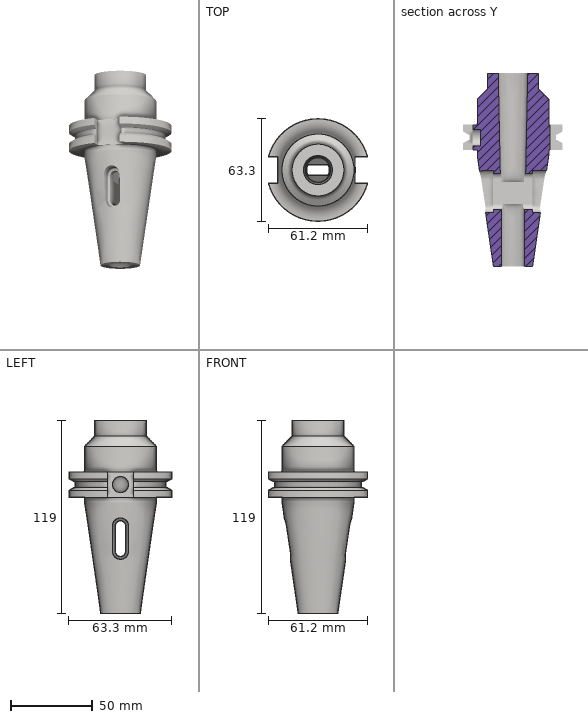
import cadquery as cq

total_height = 119.0
nose_base_z = 109.5
cone_base_z = 103.1
flange_top_z = 87.4
flange_thickness = 15.7
flange_bottom_z = flange_top_z - flange_thickness
taper_top_z = 68.5

nose_diameter = 31.9
body_diameter = 44.4
flange_diameter = 63.3
groove_diameter = 56.0
groove_step_diameter = 57.4
shank_taper = 7 / 24
shank_end_diameter = body_diameter - shank_taper * taper_top_z

groove_floor_height = 3.6
groove_mouth_height = 7.1
flange_mid_z = flange_bottom_z + flange_thickness / 2
neck_fillet = 0.8

notch_width = 16.1
left_notch_floor = 24.9
right_notch_floor = 22.9
chip_hole_diameter = 9.9
chip_hole_depth = 4.6

socket_diameter = 17.9
socket_floor_diameter = 15.1
socket_depth = 67.0
socket_floor_z = total_height - socket_depth
drawbar_hole_diameter = 13.8

slot_width = 6.3
slot_bottom_z = 35.2
slot_top_z = 57.1
slot_rim = 1.8
slot_mid_z = (slot_bottom_z + slot_top_z) / 2
slot_height = slot_top_z - slot_bottom_z
recess_floor_x = 12.3


def make_body():
    """Revolved outside: shank, grooved flange, body and nose."""
    flange_radius = flange_diameter / 2
    body_radius = body_diameter / 2
    step_radius = groove_step_diameter / 2
    groove_radius = groove_diameter / 2
    return (
        cq.Workplane("XZ")
        .moveTo(0, 0)
        .lineTo(shank_end_diameter / 2, 0)
        .lineTo(body_radius, taper_top_z)
        .lineTo(body_radius, flange_bottom_z)
        .lineTo(flange_radius, flange_bottom_z)
        .lineTo(flange_radius, flange_mid_z - groove_mouth_height / 2)
        .lineTo(step_radius, flange_mid_z - groove_floor_height / 2)
        .lineTo(groove_radius, flange_mid_z - groove_floor_height / 2)
        .lineTo(groove_radius, flange_mid_z + groove_floor_height / 2)
        .lineTo(step_radius, flange_mid_z + groove_floor_height / 2)
        .lineTo(flange_radius, flange_mid_z + groove_mouth_height / 2)
        .lineTo(flange_radius, flange_top_z)
        .lineTo(body_radius + neck_fillet, flange_top_z)
        .radiusArc((body_radius, flange_top_z + neck_fillet), neck_fillet)
        .lineTo(body_radius, cone_base_z)
        .lineTo(nose_diameter / 2, nose_base_z)
        .lineTo(nose_diameter / 2, total_height)
        .lineTo(0, total_height)
        .close()
        .revolve(360, (0, 0), (0, 1))
    )


def make_notch(side, floor_distance):
    """Cutter for a drive notch; side is -1 for -X and +1 for +X."""
    depth = flange_diameter / 2 - floor_distance
    centre_x = side * (floor_distance + depth / 2)
    return (
        cq.Workplane("XY", origin=(centre_x, 0, flange_mid_z))
        .box(depth, notch_width, flange_thickness)
    )


def make_chip_hole():
    """Blind round pocket going in from the -X notch floor."""
    return (
        cq.Workplane("YZ", origin=(-left_notch_floor, 0, flange_mid_z))
        .circle(chip_hole_diameter / 2)
        .extrude(chip_hole_depth)
    )


def make_socket():
    """Tapered socket, closed by a flat floor."""
    profile = [
        (0, socket_floor_z),
        (socket_floor_diameter / 2, socket_floor_z),
        (socket_diameter / 2, total_height),
        (0, total_height),
    ]
    return cq.Workplane("XZ").polyline(profile).close().revolve(360, (0, 0), (0, 1))


def make_drawbar_hole():
    """Round hole from the small end into the straight-sided part of the ejector slot."""
    depth = slot_bottom_z + slot_width / 2
    return cq.Workplane("XY").circle(drawbar_hole_diameter / 2).extrude(depth)


def make_slot(start_x, end_x, margin):
    """Upright round-ended slot along X, enlarged all round by margin."""
    return (
        cq.Workplane("YZ", origin=(start_x, 0, slot_mid_z))
        .slot2D(slot_height + 2 * margin, slot_width + 2 * margin, 90)
        .extrude(end_x - start_x)
    )


shank_reach = body_diameter / 2
result = (
    make_body()
    .cut(make_notch(-1, left_notch_floor))
    .cut(make_notch(1, right_notch_floor))
    .cut(make_chip_hole())
    .cut(make_socket())
    .cut(make_drawbar_hole())
    .cut(make_slot(-shank_reach, shank_reach, 0))
    .cut(make_slot(-shank_reach, -recess_floor_x, slot_rim))
    .cut(make_slot(recess_floor_x, shank_reach, slot_rim))
)